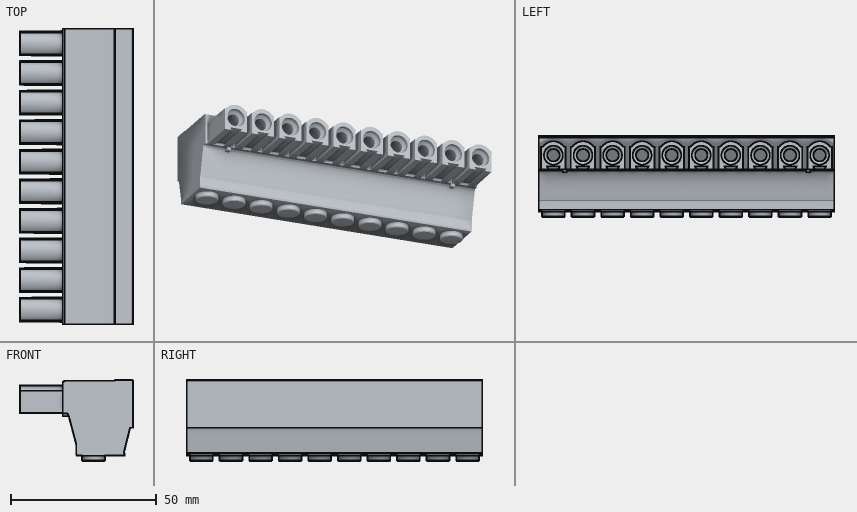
import cadquery as cq

length = 101.4
depth = 38.9
height = 27.8

pole_count = 10
pitch = 10.1
pole_positions = [(index - (pole_count - 1) / 2) * pitch for index in range(pole_count)]

housing_left = 14.7
ridge_start = 32.4
ridge_ramp = 0.4
ridge_height = 0.25
bevel_depth = 0.7
bevel_drop = 0.35
ridge_edge_radius = 0.5
back_bottom = -16.4
back_ledge = 1.0
heel_neck_x = 35.7
heel_neck_z = -25.0
heel_x = 36.0
heel_top = -25.4
foot_bottom = -26.0
foot_left = 19.3
foot_bevel_height = 0.6
foot_bevel_depth = 0.2
foot_top = -22.0
lip_bottom = -11.4
lip_right = 16.2
lip_bevel_width = 0.4
lip_bevel_height = 0.6

sleeve_top = -1.8
sleeve_shoulder = -3.7
sleeve_tip_half_width = 4.11
sleeve_root_half_width = 4.3
crown_half_width = 3.7

bore_z = -6.6
bore_mouth_diameter = 6.5
bore_inner_diameter = 4.3
bore_mouth_depth = 1.4
bore_cone_depth = 0.9
bore_depth = housing_left

groove_height = 0.9
groove_top_width = 4.5
groove_mouth_width = 3.2

boss_diameter = 7.9
boss_x = 25.3
boss_edge = 0.3

tab_y = 41.8
tab_width = 1.4
tab_bottom = -12.5
tab_back = 17.2


def make_housing():
    roof = -ridge_height
    section = [
        (housing_left, lip_bottom),
        (housing_left, roof - bevel_drop),
        (housing_left + bevel_depth, roof),
        (ridge_start, roof),
        (ridge_start + ridge_ramp, 0),
        (depth, 0),
        (depth, back_bottom),
        (depth - back_ledge, back_bottom),
        (heel_neck_x, heel_neck_z),
        (heel_x, heel_top),
        (heel_x, foot_bottom),
        (foot_left + foot_bevel_depth, foot_bottom),
        (foot_left, foot_bottom + foot_bevel_height),
        (foot_left, foot_top),
        (lip_right + lip_bevel_width, lip_bottom - lip_bevel_height),
        (lip_right, lip_bottom),
    ]
    housing = cq.Workplane("XZ").polyline(section).close().extrude(length / 2, both=True)
    back_top_edge = cq.selectors.NearestToPointSelector((depth, 0, 0))
    return housing.edges(back_top_edge).fillet(ridge_edge_radius)


def sleeve_outline(x, half_width):
    return (
        cq.Workplane("YZ", origin=(x, 0, 0))
        .moveTo(-half_width, lip_bottom)
        .lineTo(-half_width, sleeve_shoulder)
        .lineTo(-crown_half_width, sleeve_shoulder)
        .threePointArc((0, sleeve_top), (crown_half_width, sleeve_shoulder))
        .lineTo(half_width, sleeve_shoulder)
        .lineTo(half_width, lip_bottom)
        .close()
        .wires()
        .val()
    )


def make_sleeve():
    tip = sleeve_outline(0, sleeve_tip_half_width)
    root = sleeve_outline(housing_left, sleeve_root_half_width)
    sleeve = cq.Workplane(cq.Solid.makeLoft([tip, root], True))
    groove = (
        cq.Workplane("YZ")
        .polyline([
            (-groove_mouth_width / 2, lip_bottom),
            (-groove_top_width / 2, lip_bottom + groove_height),
            (groove_top_width / 2, lip_bottom + groove_height),
            (groove_mouth_width / 2, lip_bottom),
        ])
        .close()
        .extrude(housing_left)
    )
    return sleeve.cut(groove)


def make_bore():
    cone_end = bore_mouth_depth + bore_cone_depth
    return (
        cq.Workplane("XY")
        .polyline([
            (0, 0),
            (0, bore_mouth_diameter / 2),
            (bore_mouth_depth, bore_mouth_diameter / 2),
            (cone_end, bore_inner_diameter / 2),
            (bore_depth, bore_inner_diameter / 2),
            (bore_depth, 0),
        ])
        .close()
        .revolve(360, (0, 0, 0), (1, 0, 0))
        .translate((0, 0, bore_z))
    )


def make_boss():
    return (
        cq.Workplane("XY", origin=(boss_x, 0, -height))
        .circle(boss_diameter / 2)
        .extrude(height + foot_bottom)
        .faces("<Z")
        .edges()
        .chamfer(boss_edge)
    )


def make_tab(y):
    tab_depth = tab_back - housing_left
    tab_height = lip_bottom - tab_bottom
    tab = cq.Workplane("XY").box(tab_depth, tab_width, tab_height, centered=(False, True, False))
    return tab.translate((housing_left, y, tab_bottom))


result = make_housing()

sleeve = make_sleeve().cut(make_bore())
boss = make_boss()
for y in pole_positions:
    result = result.union(sleeve.translate((0, y, 0)))
    result = result.union(boss.translate((0, y, 0)))

for y in (-tab_y, tab_y):
    result = result.union(make_tab(y))